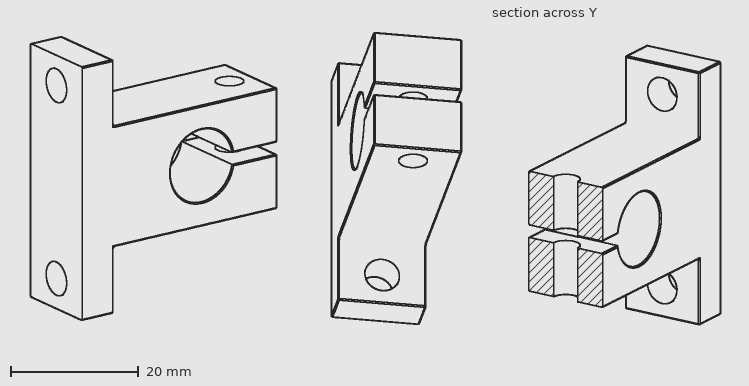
import cadquery as cq
WIDTH = 14.0
DEPTH = 37.5
BASE_HEIGHT = 42.0
BASE_THICKNESS = 6.0
BLOCK_HEIGHT = 20.0
EDGE_BREAK = 0.2
CORNER_RADIUS = 0.4

SHAFT_DIAMETER = 12.0
SHAFT_Y = 23.0
SLOT_WIDTH = 2.0

CLAMP_HOLE_DIAMETER = 4.5
CLAMP_HOLE_Y = 33.3
MOUNT_HOLE_DIAMETER = 5.5
MOUNT_HOLE_SPACING = 32.0

HALF_WIDTH = WIDTH / 2
HALF_BASE = BASE_HEIGHT / 2
HALF_BLOCK = BLOCK_HEIGHT / 2


def make_body():
    """T-shaped body with its shaft bore and the slot that opens the bore to the clamp end."""
    base = cq.Workplane("XY").box(WIDTH, BASE_THICKNESS, BASE_HEIGHT, centered=(True, False, True))
    block = cq.Workplane("XY").box(WIDTH, DEPTH, BLOCK_HEIGHT, centered=(True, False, True))
    slot_length = DEPTH - SHAFT_Y
    slot = cq.Workplane("XY").box(WIDTH, slot_length, SLOT_WIDTH, centered=(True, False, True))
    bore = cq.Workplane("YZ").circle(SHAFT_DIAMETER / 2).extrude(HALF_WIDTH, both=True)
    keyhole = bore.union(slot).translate((0, SHAFT_Y, 0))
    return base.union(block).cut(keyhole)


def break_edges(body):
    """Chamfer the rims of both X faces and the straight outer corners, but not the mounting face."""
    margin = EDGE_BREAK
    mounting_rim = cq.selectors.BoxSelector(
        (-WIDTH, -margin, -BASE_HEIGHT), (WIDTH, margin, BASE_HEIGHT)
    )
    side_rims = body.faces("<X or >X").edges()
    flange_tips = body.edges("|X and (>Z or <Z)")
    clamp_end = body.edges("|X and >Y")
    outer_edges = side_rims.add(flange_tips).add(clamp_end).vals()
    broken_edges = set(outer_edges) - set(body.edges(mounting_rim).vals())
    return body.newObject(list(broken_edges)).chamfer(EDGE_BREAK)


def fillet_inner_corners(body):
    """Round the two concave corners between the block and the flange."""
    margin = EDGE_BREAK / 2
    corners = cq.selectors.BoxSelector(
        (-HALF_WIDTH, BASE_THICKNESS - margin, -HALF_BLOCK - margin),
        (HALF_WIDTH, BASE_THICKNESS + margin, HALF_BLOCK + margin),
    )
    return body.edges(corners).fillet(CORNER_RADIUS)


def clamp_hole():
    """Screw hole along Z through both clamp jaws."""
    hole = cq.Workplane("XY").center(0, CLAMP_HOLE_Y).circle(CLAMP_HOLE_DIAMETER / 2)
    return hole.extrude(HALF_BLOCK, both=True)


def mount_holes():
    """Two screw holes along Y through the flange."""
    holes = cq.Workplane("XZ").rarray(1, MOUNT_HOLE_SPACING, 1, 2).circle(MOUNT_HOLE_DIAMETER / 2)
    return holes.extrude(-BASE_THICKNESS)


body = fillet_inner_corners(break_edges(make_body()))
result = body.cut(clamp_hole()).cut(mount_holes())